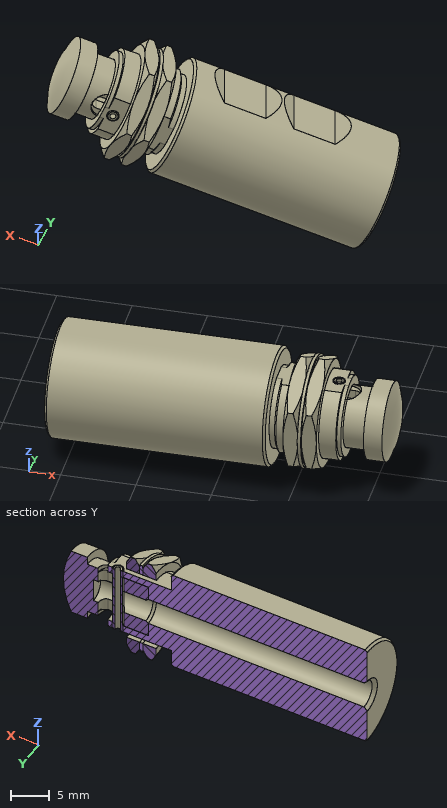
import cadquery as cq
import math


barrel_radius = 7.95
barrel_length = 29.28
barrel_chamfer = 0.3
groove_centres = (11.85, 21.65)
groove_depth = 1.05
groove_floor = 5.85
groove_wall_angle = 30

neck_radius = 5.45
neck_end = 30.0
thread_radius = 5.9
thread_lead_in = 0.25
thread_end = 38.2
tip_radius = 5.35
nose_end = 38.75
flat_depth = 0.07
flat_height = tip_radius - flat_depth

mouth_radius = 2.55
bore_radius = 2.05
mouth_depth = mouth_radius - bore_radius

nut_across_flats = 14.3
nut_thickness = 2.0
nut_chamfer_angle = 30
nut_start = 31.5
washer_radius = 7.55
washer_thickness = 0.45
washer_start = nut_start + nut_thickness
nut_starts = (nut_start, washer_start + washer_thickness)

stem_radius = 4.15
stem_start = 32.7
stem_bore_radius = 1.75
stem_bore_end = 40.85
stem_bore_mouth_depth = 0.35
head_diameter = 10.65
head_radius = head_diameter / 2
head_start = 41.75
head_edge = 44.2
dome_tip = 45.4

pin_x = 37.25
pin_diameter = 1.6
pin_radius = pin_diameter / 2
pin_hole_radius = 0.385
pin_chamfer = 0.15
pin_protrusion = 0.1
slot_half_width = 0.9
slot_end = 40.12
relief_diameter = 3.68
relief_radius = relief_diameter / 2
relief_centre_x = 38.35
relief_floor = 3.4


def revolve_about_x(outline):
    """Turn a closed XY outline about the X axis."""
    return outline.close().revolve(360, (0, 0, 0), (1, 0, 0))


def x_cylinder(radius, start, end):
    return cq.Workplane("YZ").workplane(offset=start).circle(radius).extrude(end - start)


def z_cylinder(radius, x, bottom, top):
    return cq.Workplane("XY").workplane(offset=bottom).center(x, 0).circle(radius).extrude(top - bottom)


def make_barrel():
    """Chamfered round bar with two flat-bottomed grooves across its +Y side."""
    barrel = x_cylinder(barrel_radius, 0, barrel_length).faces("<X or >X").chamfer(barrel_chamfer)
    floor_y = barrel_radius - groove_depth
    wall_run = groove_depth / math.tan(math.radians(groove_wall_angle))
    half_floor = groove_floor / 2
    for centre in groove_centres:
        groove = (
            cq.Workplane("XY")
            .moveTo(centre - half_floor, floor_y)
            .lineTo(centre + half_floor, floor_y)
            .lineTo(centre + half_floor + wall_run, barrel_radius)
            .lineTo(centre - half_floor - wall_run, barrel_radius)
            .close()
            .extrude(barrel_radius, both=True)
        )
        barrel = barrel.cut(groove)
    return barrel


def make_nose():
    """Neck, threaded length and reduced tip, milled flat on the +Z and -Z sides."""
    turned = revolve_about_x(
        cq.Workplane("XY")
        .moveTo(barrel_length, 0)
        .lineTo(barrel_length, neck_radius)
        .lineTo(neck_end, neck_radius)
        .lineTo(neck_end + thread_lead_in, thread_radius)
        .lineTo(thread_end, thread_radius)
        .lineTo(thread_end, tip_radius)
        .lineTo(nose_end, tip_radius)
        .lineTo(nose_end, 0)
    )
    between_flats = cq.Workplane("XY").box(2 * nose_end, 2 * thread_radius, 2 * flat_height)
    return turned.intersect(between_flats)


def make_housing():
    housing = make_barrel().union(make_nose())
    bore = revolve_about_x(
        cq.Workplane("XY")
        .moveTo(0, 0)
        .lineTo(0, mouth_radius)
        .lineTo(mouth_depth, bore_radius)
        .lineTo(stem_start, bore_radius)
        .lineTo(stem_start, stem_radius)
        .lineTo(nose_end, stem_radius)
        .lineTo(nose_end, 0)
    )
    pin_hole = z_cylinder(pin_radius, pin_x, -thread_radius, thread_radius)
    return housing.cut(bore).cut(pin_hole)


def make_nut(start):
    """Hex nut with corners on the Z axis, chamfered on both faces, bored to the thread radius."""
    corner_radius = nut_across_flats / 2 / math.cos(math.pi / 6)
    face_radius = nut_across_flats / 2
    chamfer_length = (corner_radius - face_radius) * math.tan(math.radians(nut_chamfer_angle))
    end = start + nut_thickness
    hexagon = (
        cq.Workplane("YZ")
        .workplane(offset=start)
        .transformed(rotate=(0, 0, 90))
        .polygon(6, 2 * corner_radius)
        .extrude(nut_thickness)
    )
    chamfered_round = revolve_about_x(
        cq.Workplane("XY")
        .moveTo(start, 0)
        .lineTo(start, face_radius)
        .lineTo(start + chamfer_length, corner_radius)
        .lineTo(end - chamfer_length, corner_radius)
        .lineTo(end, face_radius)
        .lineTo(end, 0)
    )
    return hexagon.intersect(chamfered_round).cut(x_cylinder(thread_radius, start, end))


def make_washer():
    end = washer_start + washer_thickness
    return x_cylinder(washer_radius, washer_start, end).cut(x_cylinder(thread_radius, washer_start, end))


def make_plunger():
    """Domed button on a hollow stem, slotted through Z for the cross pin."""
    dome_radius = (head_radius**2 + (dome_tip - head_edge) ** 2) / (2 * (dome_tip - head_edge))
    dome_centre = dome_tip - dome_radius
    half_angle = math.asin(head_radius / dome_radius) / 2
    dome_middle = (
        dome_centre + dome_radius * math.cos(half_angle),
        dome_radius * math.sin(half_angle),
    )
    plunger = revolve_about_x(
        cq.Workplane("XY")
        .moveTo(stem_bore_end, 0)
        .lineTo(stem_bore_end, stem_bore_radius)
        .lineTo(stem_start + stem_bore_mouth_depth, stem_bore_radius)
        .lineTo(stem_start, bore_radius)
        .lineTo(stem_start, stem_radius)
        .lineTo(head_start, stem_radius)
        .lineTo(head_start, head_radius)
        .lineTo(head_edge, head_radius)
        .threePointArc(dome_middle, (dome_tip, 0))
    )
    slot_start = pin_x - slot_half_width
    slot = (
        cq.Workplane("XY")
        .center((slot_start + slot_end) / 2, 0)
        .slot2D(slot_end - slot_start, 2 * slot_half_width)
        .extrude(stem_radius, both=True)
    )
    top_relief = z_cylinder(relief_radius, relief_centre_x, relief_floor, stem_radius)
    bottom_relief = z_cylinder(relief_radius, relief_centre_x, -stem_radius, -relief_floor)
    return plunger.cut(slot).cut(top_relief).cut(bottom_relief)


def make_pin():
    """Tubular cross pin, flush with the +Z flat and standing slightly proud of the -Z flat."""
    bottom = -flat_height - pin_protrusion
    pin = z_cylinder(pin_radius, pin_x, bottom, flat_height).faces("<Z or >Z").chamfer(pin_chamfer)
    return pin.cut(z_cylinder(pin_hole_radius, pin_x, bottom, flat_height))


housing = make_housing()
nuts = [make_nut(start) for start in nut_starts]
washer = make_washer()
plunger = make_plunger()
pin = make_pin()

result = cq.Compound.makeCompound(
    [housing.val(), *[nut.val() for nut in nuts], washer.val(), plunger.val(), pin.val()]
)